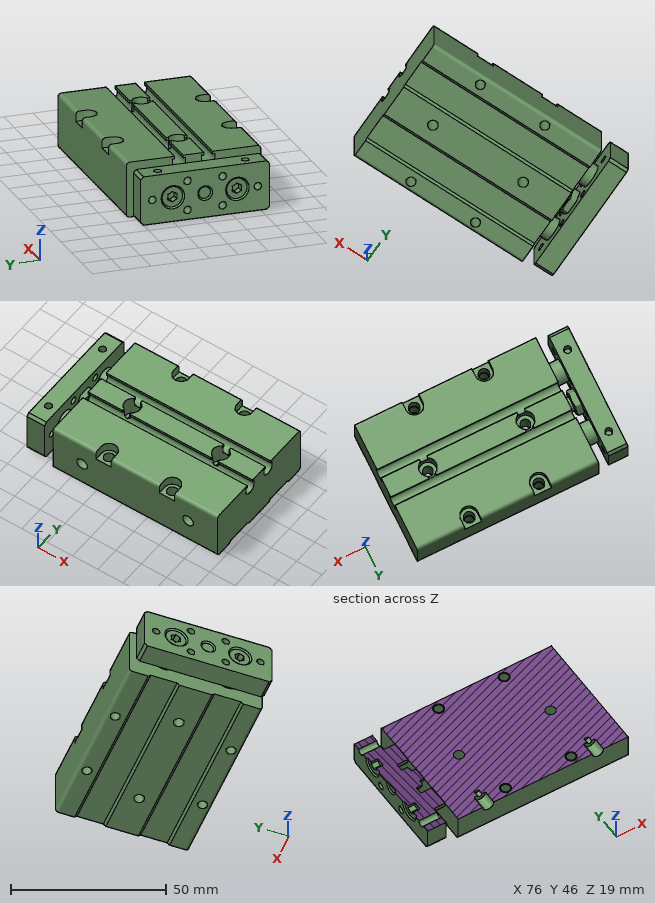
import cadquery as cq
import math


total_length = 76.0
plate_thickness = 7.0
rod_exposed_length = 4.0
housing_start = plate_thickness + rod_exposed_length
housing_length = total_length - housing_start

housing_width = 46.0
housing_height = 19.0
housing_top = housing_height / 2
housing_bottom = -housing_top
housing_edge_radius = 1.2

groove_offset = 5.0
groove_opening = 3.0
groove_width = 4.5
groove_depth = 4.6
groove_lip_thickness = 0.9

relief_depth = 0.75
relief_mouth_width = 10.8
relief_roof_width = 9.1

bore_diameter = 6.0
edge_bore_depth = 3.4
centre_bore_depth = 7.0
edge_hole_inset = 3.0
edge_hole_start = 20.0
edge_hole_spacing = 25.0
edge_hole_diameter = 3.7
edge_hole_lower_diameter = 3.2
edge_hole_upper_depth = housing_height / 2
centre_hole_start = 15.0
centre_hole_spacing = 34.95
centre_hole_diameter = 3.4
lip_notch_width = 2.65

port_start = 11.5
port_spacing = 41.9
port_diameter = 4.2
port_depth = 5.0
port_passage_diameter = 1.5
port_passage_depth = 7.0

plate_width = 44.0
plate_height = 16.7
plate_edge_chamfer = 1.0
plate_hole_diameter = 2.5
side_hole_offset = 18.0
inner_hole_offset_y = 6.0
inner_hole_offset_z = 5.0
top_hole_offset = 15.0
top_hole_depth = 5.0

guide_rod_offset = 11.0
guide_rod_diameter = 8.0
centre_rod_diameter = 5.0
seat_depth = 0.5
socket_width = 3.05
socket_depth = 2.5

nut_width = 8.0
nut_thickness = 2.5
nut_edge_radius = 0.5
nut_chamfer_length = 0.45
nut_chamfer_radial = 0.9


def hexagon_diameter(width_across_flats):
    """Diameter across the corners of a hexagon."""
    return width_across_flats / math.cos(math.radians(30))


def cylinder_down(diameter, depth, x, y, z):
    """Cylinder that starts at height z and runs along -Z."""
    return cq.Workplane("XY", origin=(x, y, z)).circle(diameter / 2).extrude(-depth)


def positions(start, spacing):
    """The two X positions of a hole pair, with start measured from the housing front face."""
    first = housing_start + start
    return (first, first + spacing)



def housing_block():
    block = cq.Workplane("XY").box(
        housing_length, housing_width, housing_height, centered=(False, True, True)
    )
    block = block.translate((housing_start, 0, 0))
    return block.edges("|X").fillet(housing_edge_radius)


def sensor_groove(y):
    """Groove with a narrow mouth between two lips and a round floor."""
    half_mouth = groove_opening / 2
    half_width = groove_width / 2
    lip_bottom = housing_top - groove_lip_thickness
    floor = housing_top - groove_depth
    wall_bottom = floor + half_width
    profile = (
        cq.Workplane("YZ", origin=(housing_start, y, 0))
        .moveTo(-half_mouth, housing_top)
        .lineTo(-half_mouth, lip_bottom)
        .lineTo(-half_width, lip_bottom)
        .lineTo(-half_width, wall_bottom)
        .threePointArc((0, floor), (half_width, wall_bottom))
        .lineTo(half_width, lip_bottom)
        .lineTo(half_mouth, lip_bottom)
        .lineTo(half_mouth, housing_top)
        .close()
    )
    return profile.extrude(housing_length)


def bottom_relief(y):
    """Trapezoidal channel that widens toward the underside."""
    half_mouth = relief_mouth_width / 2
    half_roof = relief_roof_width / 2
    roof = housing_bottom + relief_depth
    corners = [
        (-half_mouth, housing_bottom),
        (half_mouth, housing_bottom),
        (half_roof, roof),
        (-half_roof, roof),
    ]
    return cq.Workplane("YZ", origin=(housing_start, y, 0)).polyline(corners).close().extrude(housing_length)


def edge_mounting_hole(x, side):
    """Stepped through hole with a counterbore that is open to the housing side."""
    y = side * (housing_width / 2 - edge_hole_inset)
    counterbore = cylinder_down(bore_diameter, edge_bore_depth, x, y, housing_top)
    opening = cq.Workplane("XY").box(bore_diameter, edge_hole_inset, edge_bore_depth).translate(
        (x, y + side * edge_hole_inset / 2, housing_top - edge_bore_depth / 2)
    )
    upper = cylinder_down(edge_hole_diameter, edge_hole_upper_depth, x, y, housing_top)
    lower = cylinder_down(edge_hole_lower_diameter, housing_height, x, y, housing_top)
    return counterbore.union(opening).union(upper).union(lower)


def centre_mounting_hole(x):
    """Counterbored through hole whose bore breaks into both grooves, with a notch through each inner lip."""
    counterbore = cylinder_down(bore_diameter, centre_bore_depth, x, 0, housing_top)
    notch = cq.Workplane("XY").box(lip_notch_width, 2 * groove_offset, groove_lip_thickness).translate(
        (x, 0, housing_top - groove_lip_thickness / 2)
    )
    hole = cylinder_down(centre_hole_diameter, housing_height, x, 0, housing_top)
    return counterbore.union(notch).union(hole)


def air_port(x):
    """Blind port with a narrow passage at its floor."""
    face = cq.Workplane("XZ", origin=(x, -housing_width / 2, 0))
    port = face.circle(port_diameter / 2).extrude(-port_depth)
    passage = face.circle(port_passage_diameter / 2).extrude(-port_passage_depth)
    return port.union(passage)


def make_housing():
    housing = housing_block()
    for side in (-1, 1):
        housing = housing.cut(sensor_groove(side * groove_offset))
        housing = housing.cut(bottom_relief(side * guide_rod_offset))
        for x in positions(edge_hole_start, edge_hole_spacing):
            housing = housing.cut(edge_mounting_hole(x, side))
    for x in positions(centre_hole_start, centre_hole_spacing):
        housing = housing.cut(centre_mounting_hole(x))
    for x in positions(port_start, port_spacing):
        housing = housing.cut(air_port(x))
    return housing



def plate_block():
    block = cq.Workplane("XY").box(
        plate_thickness, plate_width, plate_height, centered=(False, True, True)
    )
    return block.edges("|X").chamfer(plate_edge_chamfer)


def plate_holes():
    """Through holes along X and blind holes in the top face."""
    centres = [(side * side_hole_offset, 0) for side in (-1, 1)]
    for side in (-1, 1):
        for level in (-1, 1):
            centres.append((side * inner_hole_offset_y, level * inner_hole_offset_z))
    through = cq.Workplane("YZ").pushPoints(centres).circle(plate_hole_diameter / 2).extrude(plate_thickness)
    top = (
        cq.Workplane("XY", origin=(plate_thickness / 2, 0, plate_height / 2))
        .pushPoints([(0, -top_hole_offset), (0, top_hole_offset)])
        .circle(plate_hole_diameter / 2)
        .extrude(-top_hole_depth)
    )
    return through.union(top)


def rod(diameter, y):
    """Exposed rod that ends against the housing front face."""
    return cq.Workplane("YZ", origin=(plate_thickness, y, 0)).circle(diameter / 2).extrude(rod_exposed_length)


def seat(diameter, y):
    """Shallow 45 degree countersink in the outer plate face."""
    radius = diameter / 2
    face = cq.Workplane("YZ", origin=(0, y, 0)).circle(radius)
    return face.workplane(offset=seat_depth).circle(radius - seat_depth).loft(ruled=True)


def screw_socket(y):
    """Hexagon socket below a guide rod seat, with two corners on the vertical."""
    return (
        cq.Workplane("YZ", origin=(seat_depth, y, 0))
        .polygon(6, hexagon_diameter(socket_width))
        .extrude(socket_depth)
        .rotate((0, y, 0), (1, y, 0), 90)
    )


def lock_nut():
    """Hexagon nut with flats at top and bottom, rounded edges and a chamfered free end."""
    nut = cq.Workplane("YZ", origin=(plate_thickness, 0, 0)).polygon(
        6, hexagon_diameter(nut_width)
    ).extrude(nut_thickness)
    nut = nut.edges("|X").fillet(nut_edge_radius)
    blank_radius = hexagon_diameter(nut_width) / 2
    end = plate_thickness + nut_thickness
    outline = [
        (plate_thickness, 0),
        (plate_thickness, blank_radius),
        (end - nut_chamfer_length, blank_radius),
        (end, blank_radius - nut_chamfer_radial),
        (end, 0),
    ]
    turned_blank = cq.Workplane("XY").polyline(outline).close().revolve(360, (0, 0, 0), (1, 0, 0))
    return nut.intersect(turned_blank)


def make_plate_with_rods():
    plate = plate_block().cut(plate_holes())
    plate = plate.cut(seat(centre_rod_diameter, 0))
    plate = plate.union(rod(centre_rod_diameter, 0)).union(lock_nut())
    for side in (-1, 1):
        y = side * guide_rod_offset
        plate = plate.cut(seat(guide_rod_diameter, y)).cut(screw_socket(y))
        plate = plate.union(rod(guide_rod_diameter, y))
    return plate


housing = make_housing()
plate_with_rods = make_plate_with_rods()

result = cq.Compound.makeCompound([housing.val(), plate_with_rods.val()])